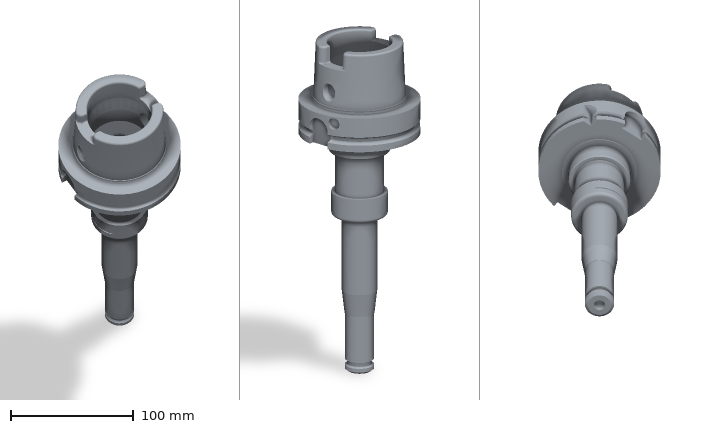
import cadquery as cq
import math


SHANK_TOP = 50.0
SHANK_TOP_RADIUS = 35.7
SHANK_BASE_RADIUS = 37.7
SHANK_BASE = 2.9
LIP_RADIUS = 38.5
LIP_HEIGHT = 0.9
NECK_BASE_RADIUS = 39.5
NECK_BASE = 1.0
RIM_FILLET = 1.7

FLANGE_RADIUS = 50.0
FLANGE_BOTTOM = -29.0
GROOVE_RADIUS = 46.0
GROOVE_CENTRE = -20.0
GROOVE_OPEN_WIDTH = 6.9
GROOVE_FLOOR_WIDTH = 2.9
FLANGE_PAD_RADIUS = 30.8
FLANGE_PAD_BOTTOM = FLANGE_BOTTOM - 0.9

NOSE_RADIUS = 25.0
NOSE_BOTTOM = -45.0
NOSE_CHAMFER = 1.0
BODY_RADIUS = 20.0
BODY_FLARE = 0.9
BODY_FLARE_HEIGHT = 1.5
NUT_TOP = -80.0
NUT_BOTTOM = -100.5
NUT_RADIUS = 23.0
NUT_FILLET = 2.9
MARK_LENGTH = 32.3
MARK_HEIGHT = 1.7
MARK_DEPTH = 0.5
MARK_CENTRE = -92.0

SHAFT_RADIUS = 14.5
CONE_TOP = -165.5
CONE_BOTTOM = -185.3
CONE_BOTTOM_RADIUS = 12.3
TIP_RADIUS = 12.0
TIP_BOTTOM = SHANK_TOP - 285.5
TIP_GROOVE_RADIUS = 10.0
TIP_GROOVE_TOP = TIP_BOTTOM + 10.3
TIP_GROOVE_BOTTOM = TIP_BOTTOM + 6.3
COLLAR_TOP = TIP_BOTTOM + 5.0
COLLAR_BOTTOM = TIP_BOTTOM + 2.0
TIP_END_RADIUS = 9.5

BORE_RADIUS = 26.5
BORE_CONE_TOP = 29.5
BORE_CONE_BOTTOM = 15.5
BORE_FLOOR = 0
BORE_FLOOR_RADIUS = 24.5
COUNTERBORE_DIAMETER = 22.3
COUNTERBORE_DEPTH = 10.0
COUNTERBORE_CHAMFER = 0.9
THROUGH_DIAMETER = 9.0
THROUGH_CHAMFER = 0.9

SLOT_HALF_WIDTH = 9.7
SLOT_CORNER_RADIUS = 4.3
SLOT_FLOOR_FILLET = 1.5
FRONT_SLOT_DEPTH = 9.7
BACK_SLOT_DEPTH = 14.5

CROSS_HOLE_DIAMETER = 12.0
CROSS_SINK_DIAMETER = 15.0
INNER_BORE_DIAMETER = 15.0
INNER_BORE_REACH = 31.5
CROSS_SINK_RUNOUT = 0.9
CROSS_HOLE_HEIGHT = 14.8

KEYWAY_RADIUS = 10.0
KEYWAY_TOP = -4.5
KEYWAY_FLOOR = 44.3
CORNER_KEYWAY_CENTRE = -41.5
CORNER_KEYWAY_FLOOR = 31.0
DATA_HOLE_DIAMETER = 10.0
DATA_HOLE_DEPTH = 4.5
DATA_HOLE_HEIGHT = -6.3
DATA_HOLE_ANGLE = 108

CLEARANCE = 14.3


def turned_body():
    groove_open = GROOVE_OPEN_WIDTH / 2
    groove_floor = GROOVE_FLOOR_WIDTH / 2
    outline = [
        (0, SHANK_TOP),
        (SHANK_TOP_RADIUS, SHANK_TOP),
        (SHANK_BASE_RADIUS, SHANK_BASE),
        (LIP_RADIUS, SHANK_BASE),
        (LIP_RADIUS, SHANK_BASE - LIP_HEIGHT),
        (SHANK_BASE_RADIUS, SHANK_BASE - LIP_HEIGHT),
        (SHANK_BASE_RADIUS, NECK_BASE),
        (NECK_BASE_RADIUS, 0),
        (FLANGE_RADIUS, 0),
        (FLANGE_RADIUS, GROOVE_CENTRE + groove_open),
        (GROOVE_RADIUS, GROOVE_CENTRE + groove_floor),
        (GROOVE_RADIUS, GROOVE_CENTRE - groove_floor),
        (FLANGE_RADIUS, GROOVE_CENTRE - groove_open),
        (FLANGE_RADIUS, FLANGE_BOTTOM),
        (FLANGE_PAD_RADIUS, FLANGE_BOTTOM),
        (FLANGE_PAD_RADIUS, FLANGE_PAD_BOTTOM),
        (NOSE_RADIUS, FLANGE_PAD_BOTTOM),
        (NOSE_RADIUS, NOSE_BOTTOM + NOSE_CHAMFER),
        (NOSE_RADIUS - NOSE_CHAMFER, NOSE_BOTTOM),
        (BODY_RADIUS + BODY_FLARE, NOSE_BOTTOM),
        (BODY_RADIUS, NOSE_BOTTOM - BODY_FLARE_HEIGHT),
        (BODY_RADIUS, NUT_TOP),
        (NUT_RADIUS, NUT_TOP),
        (NUT_RADIUS, NUT_BOTTOM),
        (SHAFT_RADIUS, NUT_BOTTOM),
        (SHAFT_RADIUS, CONE_TOP),
        (CONE_BOTTOM_RADIUS, CONE_BOTTOM),
        (TIP_RADIUS, CONE_BOTTOM),
        (TIP_RADIUS, TIP_GROOVE_TOP),
        (TIP_GROOVE_RADIUS, TIP_GROOVE_TOP),
        (TIP_GROOVE_RADIUS, TIP_GROOVE_BOTTOM),
        (TIP_RADIUS, COLLAR_TOP),
        (TIP_RADIUS, COLLAR_BOTTOM),
        (TIP_END_RADIUS, TIP_BOTTOM),
        (0, TIP_BOTTOM),
    ]
    body = cq.Workplane("XZ").polyline(outline).close().revolve(360, (0, 0), (0, 1))
    nut_edge = cq.selectors.BoxSelector(
        (-NUT_RADIUS, -NUT_RADIUS, NUT_BOTTOM - 0.3),
        (NUT_RADIUS + 2.9, NUT_RADIUS, NUT_BOTTOM + 0.3),
    )
    return body.edges(nut_edge).edges(cq.selectors.RadiusNthSelector(-1)).fillet(NUT_FILLET)


def shank_bore():
    outline = [
        (0, SHANK_TOP),
        (BORE_RADIUS, SHANK_TOP),
        (BORE_RADIUS, BORE_CONE_TOP),
        (BORE_FLOOR_RADIUS, BORE_CONE_BOTTOM),
        (BORE_FLOOR_RADIUS, BORE_FLOOR),
        (0, BORE_FLOOR),
    ]
    return cq.Workplane("XZ").polyline(outline).close().revolve(360, (0, 0), (0, 1))


def chamfered_hole(diameter, top, bottom, chamfer):
    """Vertical hole on the axis, opened out by a 45 degree chamfer at its top."""
    radius = diameter / 2
    outline = [
        (0, top),
        (radius + chamfer, top),
        (radius, top - chamfer),
        (radius, bottom),
        (0, bottom),
    ]
    return cq.Workplane("XZ").polyline(outline).close().revolve(360, (0, 0), (0, 1))


def shank_radius(height):
    taper = (SHANK_BASE_RADIUS - SHANK_TOP_RADIUS) / (SHANK_TOP - SHANK_BASE)
    return SHANK_TOP_RADIUS + taper * (SHANK_TOP - height)


def drive_slot(depth):
    """Straight slot through the shank wall on the +Y side."""
    return (
        cq.Workplane("XY")
        .box(2 * SLOT_HALF_WIDTH, SHANK_BASE_RADIUS, depth, centered=(True, False, False))
        .translate((0, BORE_RADIUS / 2, SHANK_TOP - depth))
    )


def zone(centre, half_size):
    """Selects the edges centred inside a box."""
    low = [c - h for c, h in zip(centre, half_size)]
    high = [c + h for c, h in zip(centre, half_size)]
    return cq.selectors.BoxSelector(low, high)


def round_slot_edges(shank, side, depth):
    """Rounds the outer corners and the floor of the slot on the given Y side (+1 or -1)."""
    floor = SHANK_TOP - depth
    outer_y = side * math.sqrt(SHANK_TOP_RADIUS**2 - SLOT_HALF_WIDTH**2)
    corner_zone = zone((0, outer_y, SHANK_TOP - depth / 2), (SLOT_HALF_WIDTH + 0.3, 1.5, depth / 4))
    shank = shank.edges(corner_zone).fillet(SLOT_CORNER_RADIUS)
    floor_zone = zone((0, side * SHANK_TOP_RADIUS, floor), (SLOT_HALF_WIDTH + 0.3, SHANK_TOP_RADIUS, 0.3))
    return shank.edges("|Y").edges(floor_zone).fillet(SLOT_FLOOR_FILLET)


def cross_hole():
    """Hole along Y through both shank walls, countersunk outside and counterbored inside."""
    radius = CROSS_HOLE_DIAMETER / 2
    inner_radius = INNER_BORE_DIAMETER / 2
    sink_radius = CROSS_SINK_DIAMETER / 2
    surface = shank_radius(CROSS_HOLE_HEIGHT)
    reach = surface + CROSS_SINK_RUNOUT
    outline = [
        (0, 0),
        (inner_radius, 0),
        (inner_radius, INNER_BORE_REACH),
        (radius, INNER_BORE_REACH),
        (radius, surface - (sink_radius - radius)),
        (sink_radius + CROSS_SINK_RUNOUT, reach),
        (0, reach),
    ]
    half = (
        cq.Workplane("XY", origin=(0, 0, CROSS_HOLE_HEIGHT))
        .polyline(outline)
        .close()
        .revolve(360, (0, 0), (0, 1))
    )
    return half.union(half.mirror("XZ"))


def keyway(centre_x, floor):
    """Round-topped slot on the -Y side, open at the bottom of the flange."""
    arc_height = KEYWAY_TOP - KEYWAY_RADIUS
    return (
        cq.Workplane("XZ", origin=(0, -floor, 0))
        .moveTo(centre_x - KEYWAY_RADIUS, FLANGE_BOTTOM)
        .lineTo(centre_x - KEYWAY_RADIUS, arc_height)
        .threePointArc((centre_x, KEYWAY_TOP), (centre_x + KEYWAY_RADIUS, arc_height))
        .lineTo(centre_x + KEYWAY_RADIUS, FLANGE_BOTTOM)
        .close()
        .extrude(FLANGE_RADIUS)
    )


def data_hole():
    """Radial blind hole in the rim of the flange."""
    return (
        cq.Workplane("YZ", origin=(FLANGE_RADIUS - DATA_HOLE_DEPTH, 0, DATA_HOLE_HEIGHT))
        .circle(DATA_HOLE_DIAMETER / 2)
        .extrude(DATA_HOLE_DEPTH + CLEARANCE)
        .rotate((0, 0, 0), (0, 0, 1), DATA_HOLE_ANGLE)
    )


def nut_mark():
    """Shallow bar-shaped recess following the front of the nut."""
    ring = (
        cq.Workplane("XY", origin=(0, 0, MARK_CENTRE - MARK_HEIGHT / 2))
        .circle(NUT_RADIUS + CLEARANCE)
        .circle(NUT_RADIUS - MARK_DEPTH)
        .extrude(MARK_HEIGHT)
    )
    front = (
        cq.Workplane("XY")
        .box(MARK_LENGTH, NUT_RADIUS + CLEARANCE, MARK_HEIGHT, centered=(True, False, True))
        .translate((0, -NUT_RADIUS - CLEARANCE, MARK_CENTRE))
    )
    return ring.intersect(front)


holder = turned_body().cut(shank_bore())
holder = holder.cut(drive_slot(BACK_SLOT_DEPTH))
holder = holder.cut(drive_slot(FRONT_SLOT_DEPTH).mirror("XZ"))
holder = round_slot_edges(holder, 1, BACK_SLOT_DEPTH)
holder = round_slot_edges(holder, -1, FRONT_SLOT_DEPTH)
holder = holder.faces(">Z").edges().fillet(RIM_FILLET)
holder = holder.cut(cross_hole())

counterbore_floor = BORE_FLOOR - COUNTERBORE_DEPTH
holder = holder.cut(chamfered_hole(COUNTERBORE_DIAMETER, BORE_FLOOR, counterbore_floor, COUNTERBORE_CHAMFER))
holder = holder.cut(chamfered_hole(THROUGH_DIAMETER, counterbore_floor, TIP_BOTTOM, THROUGH_CHAMFER))

holder = holder.cut(keyway(0, KEYWAY_FLOOR))
holder = holder.cut(keyway(0, KEYWAY_FLOOR).mirror("XZ"))
holder = holder.cut(keyway(CORNER_KEYWAY_CENTRE, CORNER_KEYWAY_FLOOR))
holder = holder.cut(data_hole())
result = holder.cut(nut_mark())